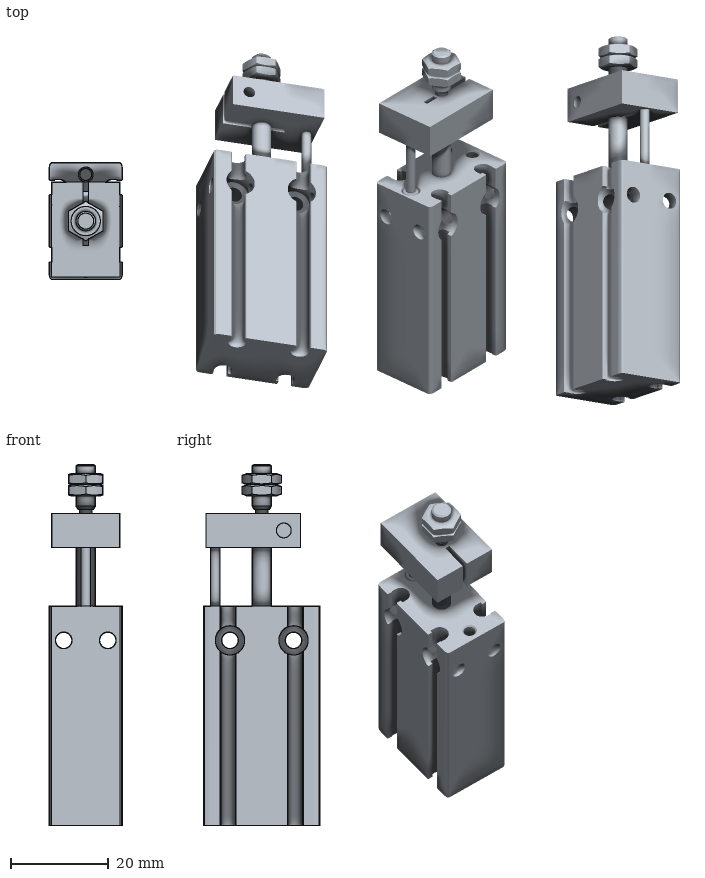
import cadquery as cq
import math


total_height = 74.0
housing_height = 45.0
plate_bottom_z = 57.0
plate_top_z = 64.0

housing_width = 15.0
housing_length = 24.0
end_face_width = 14.0
corner_radius = 2.95
corner_reach = 1.0
corner_chamfer_length = 0.3

slot_inner_y = 5.4
slot_outer_y = 8.35
slot_mouth_chamfer = 0.15
slot_lip_depth = 1.1
pocket_y = 6.65
pocket_width = 3.7
pocket_round_depth = 2.1

mount_hole_diameter = 3.3
mount_hole_z = 37.95
side_hole_y = 6.5
front_hole_x = 4.5
counterbore_diameter = 6.0
counterbore_depth = 5.0

port_diameter = 2.45
port_rim_diameter = 3.0
port_chamfer_angle = 45.0
port_depth = 5.9
groove_outer_diameter = 4.0
groove_inner_diameter = 3.0
groove_depth = 0.3

rod_diameter = 4.0
rod_tip_diameter = 3.25
rod_tip_chamfer_height = 0.3
rod_insertion = 14.8
neck_diameter = 2.7
neck_top_z = 64.75
stud_bottom_z = 65.5
stud_end_diameter = 3.0

guide_diameter = 2.0
guide_offset = 9.55

plate_width = end_face_width
plate_front_y = -11.5
plate_back_y = 8.0
slit_width = 1.0
slit_front_y = -5.0
screw_diameter = 3.0
screw_access_diameter = 2.45
screw_y = 4.5
screw_z = (plate_bottom_z + plate_top_z) / 2

nut_width = 7.0
nut_height = 2.3
nut_face_diameter = 6.0
nut_chamfer_angle = 20.0
lower_nut_z = 67.55
nut_count = 2


def z_cylinder(diameter, bottom_z, height, y=0.0):
    return cq.Workplane("XY", origin=(0, y, bottom_z)).circle(diameter / 2).extrude(height)


def x_cylinder(diameter, start_x, end_x, y, z):
    return cq.Workplane("YZ", origin=(start_x, y, z)).circle(diameter / 2).extrude(end_x - start_x)


def housing_blank():
    """Housing extrusion: each corner eases off the side in a flat arc and ends in a small chamfer."""
    half_width = housing_width / 2
    half_length = housing_length / 2
    half_face = end_face_width / 2
    arc_end_y = half_length - corner_chamfer_length
    arc_start_y = arc_end_y - corner_reach
    arc_center_x = half_width - corner_radius
    arc_angle = math.asin(corner_reach / corner_radius)
    arc_end_x = arc_center_x + corner_radius * math.cos(arc_angle)
    arc_mid_x = arc_center_x + corner_radius * math.cos(arc_angle / 2)
    arc_mid_y = arc_start_y + corner_radius * math.sin(arc_angle / 2)
    quarter = (
        cq.Workplane("XY")
        .lineTo(half_width, 0)
        .lineTo(half_width, arc_start_y)
        .threePointArc((arc_mid_x, arc_mid_y), (arc_end_x, arc_end_y))
        .lineTo(half_face, half_length)
        .lineTo(0, half_length)
        .close()
        .extrude(housing_height)
    )
    half = quarter.union(quarter.mirror("YZ"))
    return half.union(half.mirror("XZ")).clean()


def sensor_slot(side, end):
    """Full-height slot: chamfered mouth, straight lips, then a wider pocket with a round bottom."""
    face_x = side * housing_width / 2
    chamfer_x = face_x - side * slot_mouth_chamfer
    lip_x = face_x - side * slot_lip_depth
    round_x = face_x - side * pocket_round_depth
    pocket_radius = pocket_width / 2
    bottom_x = round_x - side * pocket_radius
    mouth_outer = end * slot_outer_y
    mouth_inner = end * slot_inner_y
    pocket_outer = end * (pocket_y + pocket_radius)
    pocket_inner = end * (pocket_y - pocket_radius)
    flare = end * slot_mouth_chamfer
    return (
        cq.Workplane("XY")
        .moveTo(face_x, mouth_inner - flare)
        .lineTo(chamfer_x, mouth_inner)
        .lineTo(lip_x, mouth_inner)
        .lineTo(lip_x, pocket_inner)
        .lineTo(round_x, pocket_inner)
        .threePointArc((bottom_x, end * pocket_y), (round_x, pocket_outer))
        .lineTo(lip_x, pocket_outer)
        .lineTo(lip_x, mouth_outer)
        .lineTo(chamfer_x, mouth_outer)
        .lineTo(face_x, mouth_outer + flare)
        .close()
        .extrude(housing_height)
    )


def port_chamfer():
    """Cone at the rim of the port, narrowing to the port diameter."""
    rim_width = (port_rim_diameter - port_diameter) / 2
    chamfer_depth = rim_width / math.tan(math.radians(port_chamfer_angle))
    return (
        cq.Workplane("XY", origin=(0, guide_offset, housing_height))
        .circle(port_rim_diameter / 2)
        .extrude(-chamfer_depth, taper=port_chamfer_angle)
    )


def guide_groove():
    """V-shaped ring groove around the guide rod."""
    outer = groove_outer_diameter / 2
    inner = groove_inner_diameter / 2
    return (
        cq.Workplane("XZ", origin=(0, -guide_offset, housing_height))
        .moveTo(inner, 0)
        .lineTo((inner + outer) / 2, -groove_depth)
        .lineTo(outer, 0)
        .close()
        .revolve(360, (0, 0, 0), (0, 1, 0))
    )


def make_housing():
    body = housing_blank()
    half_width = housing_width / 2
    half_length = housing_length / 2
    for end in (-1, 1):
        for side in (-1, 1):
            body = body.cut(sensor_slot(side, end))

    for y in (-side_hole_y, side_hole_y):
        body = body.cut(x_cylinder(mount_hole_diameter, -half_width, half_width, y, mount_hole_z))
        for side in (-1, 1):
            face_x = side * half_width
            floor_x = face_x - side * counterbore_depth
            body = body.cut(x_cylinder(counterbore_diameter, floor_x, face_x, y, mount_hole_z))

    for x in (-front_hole_x, front_hole_x):
        hole = (
            cq.Workplane("XZ", origin=(x, half_length, mount_hole_z))
            .circle(mount_hole_diameter / 2)
            .extrude(housing_length)
        )
        body = body.cut(hole)

    body = body.cut(z_cylinder(port_diameter, housing_height - port_depth, port_depth, guide_offset))
    body = body.cut(port_chamfer())

    bore_bottom_z = housing_height - rod_insertion
    body = body.cut(z_cylinder(rod_diameter, bore_bottom_z, rod_insertion))
    body = body.cut(z_cylinder(guide_diameter, bore_bottom_z, rod_insertion, -guide_offset))
    return body.cut(guide_groove())


def make_piston_rod():
    """Turned rod whose shoulder is flush with the plate, then a neck and a stud."""
    rod_radius = rod_diameter / 2
    neck_radius = neck_diameter / 2
    bottom_z = housing_height - rod_insertion
    return (
        cq.Workplane("XZ")
        .moveTo(0, bottom_z)
        .lineTo(rod_radius, bottom_z)
        .lineTo(rod_radius, plate_top_z)
        .lineTo(neck_radius, plate_top_z)
        .lineTo(neck_radius, neck_top_z)
        .lineTo(stud_end_diameter / 2, neck_top_z)
        .lineTo(rod_radius, stud_bottom_z)
        .lineTo(rod_radius, total_height - rod_tip_chamfer_height)
        .lineTo(rod_tip_diameter / 2, total_height)
        .lineTo(0, total_height)
        .close()
        .revolve(360, (0, 0, 0), (0, 1, 0))
    )


def make_guide_rod():
    """Plain rod butting against the underside of the plate."""
    bottom_z = housing_height - rod_insertion
    return z_cylinder(guide_diameter, bottom_z, plate_bottom_z - bottom_z, -guide_offset)


def make_clamp_plate():
    plate_height = plate_top_z - plate_bottom_z
    plate_length = plate_back_y - plate_front_y
    plate = cq.Workplane("XY", origin=(0, plate_front_y, plate_bottom_z)).box(
        plate_width, plate_length, plate_height, centered=(True, False, False)
    )
    slit = cq.Workplane("XY", origin=(0, slit_front_y, plate_bottom_z)).box(
        slit_width, plate_back_y - slit_front_y, plate_height, centered=(True, False, False)
    )
    half_width = plate_width / 2
    access_hole = x_cylinder(screw_access_diameter, -half_width, 0, screw_y, screw_z)
    rod_bore = z_cylinder(rod_diameter, plate_bottom_z, plate_height)
    return plate.cut(slit).cut(rod_bore).cut(access_hole).cut(make_clamp_screw())


def make_clamp_screw():
    """Cross screw bridging the slit, flush with the +X face of the plate."""
    return x_cylinder(screw_diameter, -slit_width / 2, plate_width / 2, screw_y, screw_z)


def make_nut(bottom_z):
    """Hexagon nut with flats facing X and conical chamfers on both faces."""
    corner_distance = nut_width / math.sqrt(3)
    face_radius = nut_face_diameter / 2
    chamfer_height = (corner_distance - face_radius) * math.tan(math.radians(nut_chamfer_angle))
    hexagon = (
        cq.Workplane("XY", origin=(0, 0, bottom_z))
        .transformed(rotate=(0, 0, 90))
        .polygon(6, 2 * corner_distance)
        .extrude(nut_height)
    )
    chamfer_envelope = (
        cq.Workplane("XZ", origin=(0, 0, bottom_z))
        .moveTo(0, 0)
        .lineTo(face_radius, 0)
        .lineTo(corner_distance, chamfer_height)
        .lineTo(corner_distance, nut_height - chamfer_height)
        .lineTo(face_radius, nut_height)
        .lineTo(0, nut_height)
        .close()
        .revolve(360, (0, 0, 0), (0, 1, 0))
    )
    return hexagon.intersect(chamfer_envelope).cut(z_cylinder(rod_diameter, bottom_z, nut_height))


housing = make_housing()
piston_rod = make_piston_rod()
guide_rod = make_guide_rod()
clamp_plate = make_clamp_plate()
clamp_screw = make_clamp_screw()
nuts = [make_nut(lower_nut_z + index * nut_height) for index in range(nut_count)]

result = cq.Compound.makeCompound([
    housing.val(),
    piston_rod.val(),
    guide_rod.val(),
    clamp_plate.val(),
    clamp_screw.val(),
    *[nut.val() for nut in nuts],
])